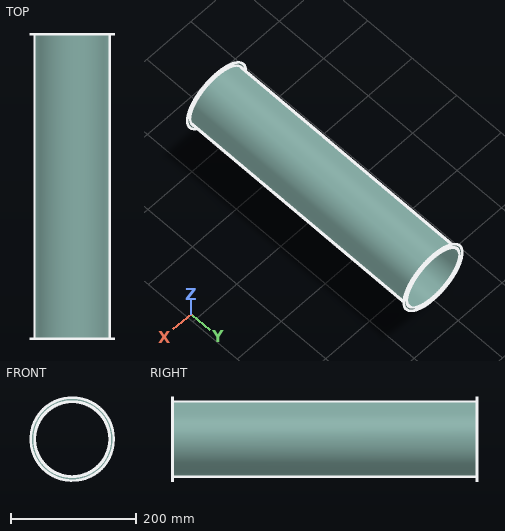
import cadquery as cq

length = 488.0
bore_diameter = 119.0
tube_diameter = 121.0
flange_diameter = 133.0
wall = (tube_diameter - bore_diameter) / 2
flange_thickness = wall


def ring(outer_diameter, start_y, depth):
    """Ring around the Y axis, from start_y towards +Y."""
    plane = cq.Workplane("XZ", origin=(0, start_y, 0))
    return plane.circle(outer_diameter / 2).circle(bore_diameter / 2).extrude(-depth)


result = ring(tube_diameter, -length / 2, length)
for flange_start in (-length / 2, length / 2 - flange_thickness):
    result = result.union(ring(flange_diameter, flange_start, flange_thickness))